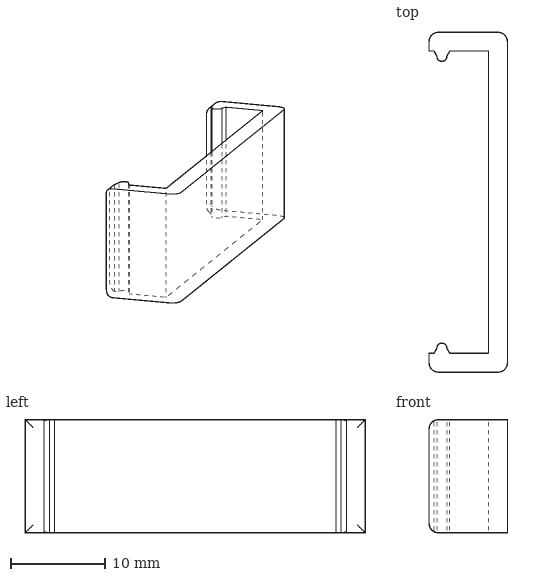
import cadquery as cq

depth = 8.3
length = 36.0
height = 12.0

wall = 2.0
edge_radius = 1.0

ridge_offset = 1.35
ridge_base_half = 0.83
ridge_flank = 0.55
ridge_radius = 0.55

tip_x = -depth / 2
ridge_x = tip_x + ridge_offset
inner_half = length / 2 - wall


def rounded_block():
    """Solid envelope with the arm-tip face and the back corners rounded."""
    block = cq.Workplane("XY").box(depth, length, height)
    block = block.faces("<X").edges().fillet(edge_radius)
    return block.edges("|Z and >X").fillet(edge_radius)


def cavity():
    """Space between the arms, open through the tip face and in height."""
    cavity_depth = depth - wall
    return (
        cq.Workplane("XY")
        .box(cavity_depth, 2 * inner_half, height)
        .translate((tip_x + cavity_depth / 2, 0, 0))
    )


def snap_ridge(side):
    """Round-crested ridge pointing inward from the arm on the given Y side."""
    base_y = side * inner_half
    shoulder_y = side * (inner_half - ridge_flank)
    crest_y = shoulder_y - side * ridge_radius
    return (
        cq.Workplane("XY", origin=(0, 0, -height / 2))
        .moveTo(ridge_x - ridge_base_half, base_y)
        .lineTo(ridge_x - ridge_radius, shoulder_y)
        .threePointArc((ridge_x, crest_y), (ridge_x + ridge_radius, shoulder_y))
        .lineTo(ridge_x + ridge_base_half, base_y)
        .close()
        .extrude(height)
    )


opening = cavity()
for side in (-1, 1):
    opening = opening.cut(snap_ridge(side))

result = rounded_block().cut(opening)